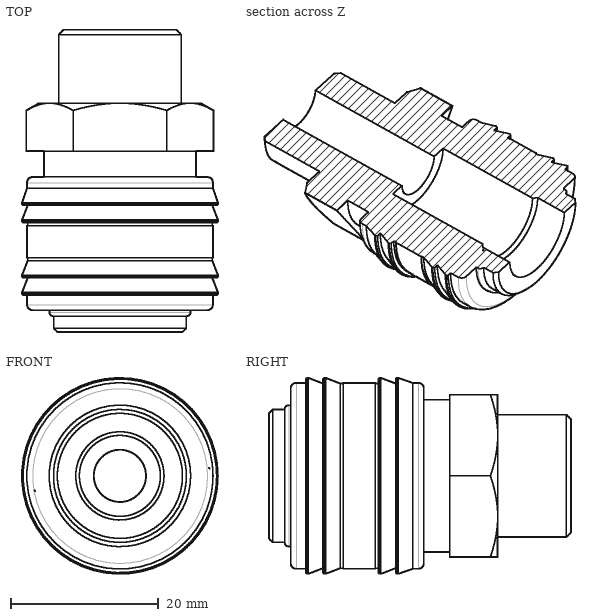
import cadquery as cq
import math

length = 41.0

nose_radius = 9.0
nose_chamfer = 0.55
collar_start = 2.15
collar_radius = 9.6

sleeve_start = 2.95
sleeve_end = 21.05
sleeve_radius = 12.63
sleeve_fillet = 0.78
rib_diameter = 26.6
rib_radius = rib_diameter / 2
rib_pitch = 2.35
rib_crest_width = 0.35
rib_root_radius = 12.55
rib_pair_starts = (5.0, 14.85)
groove_width = 0.4

neck_radius = 10.35
hex_start = 24.5
hex_end = 31.05
hex_across_flats = 22.0
hex_chamfer_angle = 30.0
stud_radius = 8.32
stud_chamfer = 0.65

mouth_radius = 6.0
mouth_depth = 4.6
socket_radius = 5.5
socket_depth = 20.5
bore_radius = 3.53


def cylinder(radius, start, end):
    """Cylinder along Y between two stations."""
    plane = cq.Workplane("XZ", origin=(0, start, 0))
    return plane.circle(radius).extrude(start - end)


def revolve_about_y(points):
    """Turn a closed (radius, Y) outline about the coupling axis."""
    return cq.Workplane("XY").polyline(points).close().revolve(360, (0, 0, 0), (0, 1, 0))


def make_nose():
    nose = cylinder(nose_radius, 0, sleeve_start).faces("<Y").chamfer(nose_chamfer)
    collar = cylinder(collar_radius, collar_start, sleeve_start)
    collar = collar.faces("<Y").edges().fillet(collar_radius - nose_radius)
    return nose.union(collar)


def make_rib(start, root_radius):
    """Sawtooth rib: steep face at its start, long taper towards +Y."""
    crest_end = start + rib_crest_width
    rib_end = start + rib_pitch
    return revolve_about_y([
        (0, start),
        (rib_radius - rib_crest_width / 2, start),
        (rib_radius, start + rib_crest_width / 2),
        (rib_radius, crest_end),
        (root_radius, rib_end),
        (0, rib_end),
    ])


def make_recess(start, end):
    """Shallow ring that lowers the sleeve surface to the rib roots."""
    return cylinder(rib_radius, start, end).cut(cylinder(rib_root_radius, start, end))


def make_sleeve():
    sleeve = cylinder(sleeve_radius, sleeve_start, sleeve_end).edges().fillet(sleeve_fillet)
    front_start, rear_start = rib_pair_starts
    front_end = front_start + 2 * rib_pitch
    rear_end = rear_start + 2 * rib_pitch
    sleeve = sleeve.cut(make_recess(front_start, front_end + groove_width))
    sleeve = sleeve.cut(make_recess(rear_start - groove_width, rear_end))
    for pair_start in rib_pair_starts:
        sleeve = sleeve.union(make_rib(pair_start, rib_root_radius))
    sleeve = sleeve.union(make_rib(front_start + rib_pitch, rib_root_radius))
    return sleeve.union(make_rib(rear_start + rib_pitch, sleeve_radius))


def make_hexagon():
    """Hexagon with corners on the X axis and a turned chamfer on the stud side."""
    corner_diameter = hex_across_flats / math.cos(math.radians(30))
    plane = cq.Workplane("XZ", origin=(0, hex_start, 0))
    hexagon = plane.polygon(6, corner_diameter).extrude(hex_start - hex_end)
    corner_radius = corner_diameter / 2
    flat_radius = hex_across_flats / 2
    drop = (corner_radius - flat_radius) * math.tan(math.radians(hex_chamfer_angle))
    envelope = revolve_about_y([
        (0, hex_start),
        (corner_radius, hex_start),
        (corner_radius, hex_end - drop),
        (flat_radius, hex_end),
        (0, hex_end),
    ])
    return hexagon.intersect(envelope)


def make_bore():
    """Socket with a 45 degree step, then a through bore."""
    step_end = mouth_depth + mouth_radius - socket_radius
    socket = revolve_about_y([
        (0, 0),
        (mouth_radius, 0),
        (mouth_radius, mouth_depth),
        (socket_radius, step_end),
        (socket_radius, socket_depth),
        (0, socket_depth),
    ])
    return socket.union(cylinder(bore_radius, 0, length))


neck = cylinder(neck_radius, sleeve_end, hex_start)
stud = cylinder(stud_radius, hex_end, length).faces(">Y").chamfer(stud_chamfer)

body = make_nose().union(make_sleeve()).union(neck).union(make_hexagon()).union(stud)
result = body.cut(make_bore())